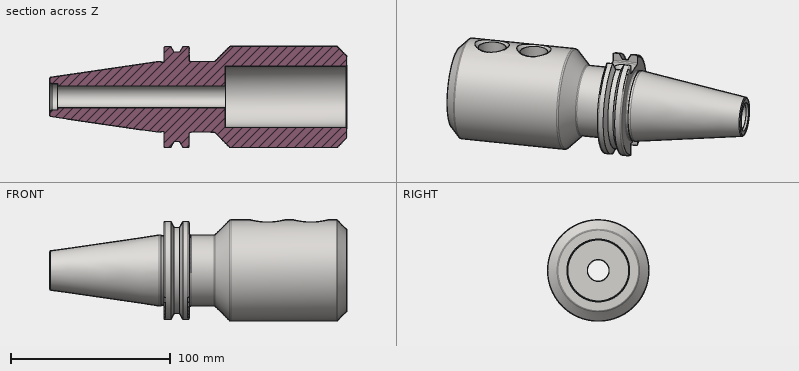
import cadquery as cq
import math


GAUGE_DIAMETER = 44.45
TAPER_RATIO = 7 / 24
TAPER_LENGTH = 68.25
TAPER_END_CHAMFER = 0.6
COLLAR_END = 1.5
RELIEF_DIAMETER = 43.6
RELIEF_FILLET = 0.4

FLANGE_DIAMETER = 63.5
FLANGE_START = 3.175
FLANGE_WIDTH = 15.875
FLANGE_FILLET = 1.0
GROOVE_CENTER = 11.3
GROOVE_FLOOR_WIDTH = 3.3
GROOVE_DEPTH = 3.6
GROOVE_HALF_ANGLE = 30

SLOT_WIDTH = 16.38
SLOT_FLOOR_TOP = 25.0
SLOT_FLOOR_BOTTOM = 22.6
SLOT_FILLET = 0.6
DIMPLE_DIAMETER = 9.53
DIMPLE_ANGLE = 118

NECK_DIAMETER = 44.45
NECK_END = 35.0
NECK_FLANGE_FILLET = 1.0
NECK_CONE_FILLET = 1.0
BODY_DIAMETER = 63.5
BODY_CONE_FILLET = 1.5
NOSE_END = 117.6
NOSE_CHAMFER = 6.2
NOSE_FILLET = 0.8

DRAWBAR_THREAD_DIAMETER = 13.39
PILOT_DIAMETER = 16.3
PILOT_DEPTH = 5.0
PILOT_MOUTH_DIAMETER = 17.9
PILOT_MOUTH_DEPTH = 1.4
TOOL_BORE_DIAMETER = 38.1
TOOL_BORE_DEPTH = 76.0
TOOL_BORE_MOUTH_DIAMETER = 39.3

SCREW_DIAMETER = 17.32
SCREW_SINK_DIAMETER = 21.7
SCREW_POSITIONS = (68.0, 95.0)

FLANGE_END = FLANGE_START + FLANGE_WIDTH
GAUGE_RADIUS = GAUGE_DIAMETER / 2
RELIEF_RADIUS = RELIEF_DIAMETER / 2
FLANGE_RADIUS = FLANGE_DIAMETER / 2
NECK_RADIUS = NECK_DIAMETER / 2
BODY_RADIUS = BODY_DIAMETER / 2
TAPER_END_RADIUS = GAUGE_RADIUS - TAPER_RATIO * TAPER_LENGTH / 2
CONE_END = NECK_END + BODY_RADIUS - NECK_RADIUS
NOSE_CHAMFER_START = NOSE_END - NOSE_CHAMFER
NOSE_RADIUS = BODY_RADIUS - NOSE_CHAMFER

EDGE_TOLERANCE = 0.01


def revolve_about_axis(profile):
    """Revolve (x, radius) points about the X axis."""
    return cq.Workplane("XY").polyline(profile).close().revolve(360, (0, 0, 0), (1, 0, 0))


def round_edge(solid, x, edge_radius, fillet_radius):
    """Fillet the circular edge that has the given position and radius."""

    def is_wanted(edge):
        return (
            edge.geomType() == "CIRCLE"
            and abs(edge.Center().x - x) < EDGE_TOLERANCE
            and abs(edge.radius() - edge_radius) < EDGE_TOLERANCE
        )

    return solid.edges().filter(is_wanted).fillet(fillet_radius)


def make_outside():
    groove_floor_radius = FLANGE_RADIUS - GROOVE_DEPTH
    half_floor = GROOVE_FLOOR_WIDTH / 2
    half_mouth = half_floor + GROOVE_DEPTH * math.tan(math.radians(GROOVE_HALF_ANGLE))
    profile = [
        (-TAPER_LENGTH, 0),
        (-TAPER_LENGTH, TAPER_END_RADIUS - TAPER_END_CHAMFER),
        (
            -TAPER_LENGTH + TAPER_END_CHAMFER,
            TAPER_END_RADIUS + TAPER_RATIO * TAPER_END_CHAMFER / 2,
        ),
        (0, GAUGE_RADIUS),
        (COLLAR_END, GAUGE_RADIUS),
        (COLLAR_END, RELIEF_RADIUS),
        (FLANGE_START, RELIEF_RADIUS),
        (FLANGE_START, FLANGE_RADIUS),
        (GROOVE_CENTER - half_mouth, FLANGE_RADIUS),
        (GROOVE_CENTER - half_floor, groove_floor_radius),
        (GROOVE_CENTER + half_floor, groove_floor_radius),
        (GROOVE_CENTER + half_mouth, FLANGE_RADIUS),
        (FLANGE_END, FLANGE_RADIUS),
        (FLANGE_END, NECK_RADIUS),
        (NECK_END, NECK_RADIUS),
        (CONE_END, BODY_RADIUS),
        (NOSE_CHAMFER_START, BODY_RADIUS),
        (NOSE_END, NOSE_RADIUS),
        (NOSE_END, 0),
    ]
    outside = revolve_about_axis(profile)
    rounded_edges = [
        (FLANGE_START, RELIEF_RADIUS, RELIEF_FILLET),
        (FLANGE_START, FLANGE_RADIUS, FLANGE_FILLET),
        (FLANGE_END, FLANGE_RADIUS, FLANGE_FILLET),
        (FLANGE_END, NECK_RADIUS, NECK_FLANGE_FILLET),
        (NECK_END, NECK_RADIUS, NECK_CONE_FILLET),
        (CONE_END, BODY_RADIUS, BODY_CONE_FILLET),
        (NOSE_CHAMFER_START, BODY_RADIUS, NOSE_FILLET),
        (NOSE_END, NOSE_RADIUS, NOSE_FILLET),
    ]
    for x, edge_radius, fillet_radius in rounded_edges:
        outside = round_edge(outside, x, edge_radius, fillet_radius)
    return outside


def make_drive_slot(floor):
    """Slot on the +Z side, its floor at the given distance from the axis."""
    slot = (
        cq.Workplane("XY", origin=(FLANGE_START + FLANGE_WIDTH / 2, 0, floor))
        .rect(FLANGE_WIDTH, SLOT_WIDTH)
        .extrude(FLANGE_RADIUS)
    )
    return slot.edges("|X and <Z").fillet(SLOT_FILLET)


def make_dimple():
    radius = DIMPLE_DIAMETER / 2
    depth = radius / math.tan(math.radians(DIMPLE_ANGLE / 2))
    top = cq.Vector(GROOVE_CENTER, 0, SLOT_FLOOR_TOP)
    return cq.Workplane(cq.Solid.makeCone(radius, 0, depth, top, cq.Vector(0, 0, -1)))


def make_axial_bores():
    thread_radius = DRAWBAR_THREAD_DIAMETER / 2
    pilot_radius = PILOT_DIAMETER / 2
    bore_radius = TOOL_BORE_DIAMETER / 2
    bore_mouth_radius = TOOL_BORE_MOUTH_DIAMETER / 2
    bore_mouth_depth = bore_mouth_radius - bore_radius
    profile = [
        (-TAPER_LENGTH, 0),
        (-TAPER_LENGTH, PILOT_MOUTH_DIAMETER / 2),
        (-TAPER_LENGTH + PILOT_MOUTH_DEPTH, pilot_radius),
        (-TAPER_LENGTH + PILOT_DEPTH, pilot_radius),
        (-TAPER_LENGTH + PILOT_DEPTH, thread_radius),
        (NOSE_END - TOOL_BORE_DEPTH, thread_radius),
        (NOSE_END - TOOL_BORE_DEPTH, bore_radius),
        (NOSE_END - bore_mouth_depth, bore_radius),
        (NOSE_END, bore_mouth_radius),
        (NOSE_END, 0),
    ]
    return revolve_about_axis(profile)


def make_screw_hole(x):
    """Countersunk hole from the crest of the body down to the axis."""
    screw_radius = SCREW_DIAMETER / 2
    sink_radius = SCREW_SINK_DIAMETER / 2
    sink_depth = sink_radius - screw_radius
    crest = cq.Vector(x, 0, BODY_RADIUS)
    hole = cq.Workplane("XY", origin=(x, 0, 0)).circle(screw_radius).extrude(BODY_RADIUS)
    sink = cq.Solid.makeCone(sink_radius, screw_radius, sink_depth, crest, cq.Vector(0, 0, -1))
    return hole.union(cq.Workplane(sink))


result = make_outside()
result = result.cut(make_drive_slot(SLOT_FLOOR_TOP))
result = result.cut(make_drive_slot(SLOT_FLOOR_BOTTOM).rotate((0, 0, 0), (1, 0, 0), 180))
result = result.cut(make_dimple())
result = result.cut(make_axial_bores())
for screw_x in SCREW_POSITIONS:
    result = result.cut(make_screw_hole(screw_x))